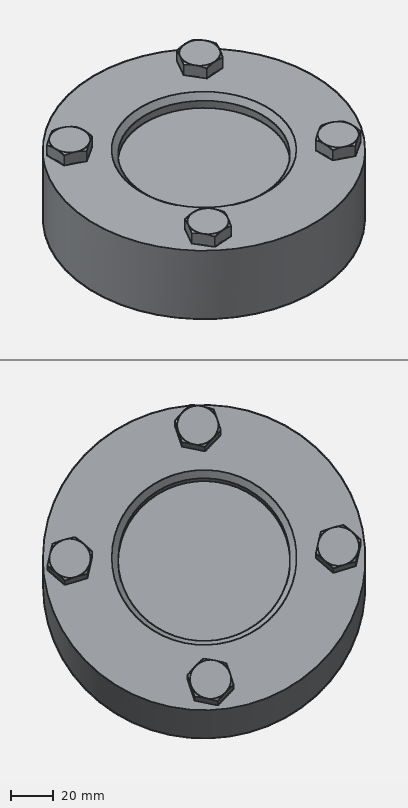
import cadquery as cq
import math

flange_diameter = 150
flange_height = 41.0

recess_diameter = 80.0
mouth_diameter = 86.0
mouth_depth = 3.0
recess_depth = 7.4

bolt_count = 4
bolt_circle_diameter = 125.0
head_sides = 6
head_across_flats = 19.0
head_height = 7.5
head_washer_diameter = 17.2
head_washer_height = 0.6
head_bevel_angle = 30

head_across_corners = head_across_flats / math.cos(math.radians(180 / head_sides))


def make_flange():
    """Disc with a blind recess whose mouth is conical."""
    disc_radius = flange_diameter / 2
    recess_radius = recess_diameter / 2
    recess_floor = flange_height - recess_depth
    return (
        cq.Workplane("XZ")
        .moveTo(0, 0)
        .lineTo(disc_radius, 0)
        .lineTo(disc_radius, flange_height)
        .lineTo(mouth_diameter / 2, flange_height)
        .lineTo(recess_radius, flange_height - mouth_depth)
        .lineTo(recess_radius, recess_floor)
        .lineTo(0, recess_floor)
        .close()
        .revolve(360, (0, 0), (0, 1))
    )


def make_bolt_head():
    """Hexagon head on a thin washer face, two corners on the X axis."""
    hexagon = (
        cq.Workplane("XY")
        .workplane(offset=head_washer_height)
        .polygon(head_sides, head_across_corners)
        .extrude(head_height - head_washer_height)
    )
    flat_radius = head_across_flats / 2
    corner_radius = head_across_corners / 2
    bevel_height = (corner_radius - flat_radius) * math.tan(math.radians(head_bevel_angle))
    envelope = (
        cq.Workplane("XZ")
        .moveTo(0, 0)
        .lineTo(corner_radius, 0)
        .lineTo(corner_radius, head_height - bevel_height)
        .lineTo(flat_radius, head_height)
        .lineTo(0, head_height)
        .close()
        .revolve(360, (0, 0), (0, 1))
    )
    washer_face = cq.Workplane("XY").circle(head_washer_diameter / 2).extrude(head_washer_height)
    return hexagon.intersect(envelope).union(washer_face)


result = make_flange()

bolt_offset = bolt_circle_diameter / 2 * math.cos(math.radians(45))
first_head = make_bolt_head().translate((bolt_offset, bolt_offset, flange_height))
for index in range(bolt_count):
    result = result.union(first_head.rotate((0, 0, 0), (0, 0, 1), index * 360 / bolt_count))